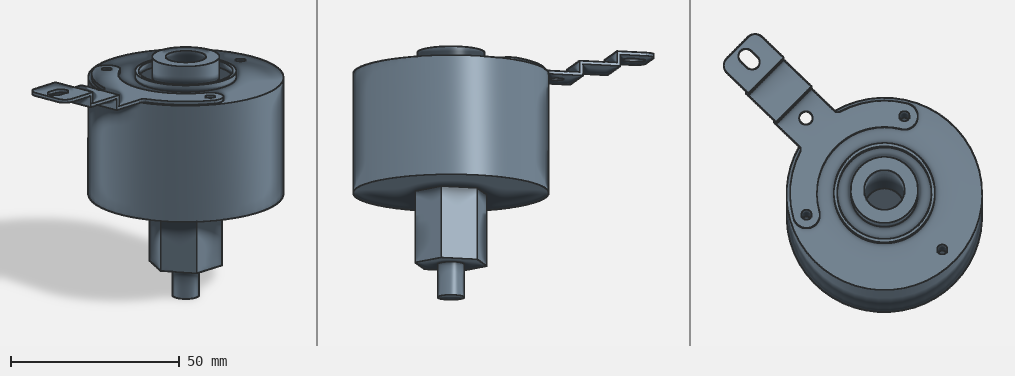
import cadquery as cq
import math

body_diameter = 58.0
body_height = 36.0
hex_across_flats = 19.1
hex_length = 21.55
shaft_diameter = 7.9
shaft_length = 10.0
hub_diameter = 19.9
hub_height = 6.4
bore_diameter = 12.0
bore_depth = 30.0
ring_diameter = 30.0
ring_wall = 1.0
ring_height = 2.0

screw_count = 3
screw_circle_radius = 24.0
screw_diameter = 3.0
screw_depth = 10.0
band_half_angle = 180 / screw_count

sheet = 1.0
step_rise = 3.5
band_half_width = 4.0
arm_angle = -60
arm_width = 15.0
arm_length = 61.0
fold_positions = (37.5, 49.0)
arm_corner_radius = 3.0
arm_root_radius = 1.0
arm_hole_position = 32.5
arm_hole_diameter = 4.0
slot_position = 56.1
slot_width = 4.5
slot_length = 7.0



def cylinder(diameter, height, bottom=0):
    return cq.Workplane("XY").workplane(offset=bottom).circle(diameter / 2).extrude(height)


def polar(radius, angle):
    return (radius * math.cos(math.radians(angle)), radius * math.sin(math.radians(angle)))


def make_turned_parts():
    hex_across_corners = hex_across_flats / math.cos(math.pi / 6)
    hexagon = (
        cq.Workplane("XY").workplane(offset=-body_height)
        .polygon(6, hex_across_corners).extrude(-hex_length)
    )
    body = cylinder(body_diameter, body_height, -body_height)
    shaft = cylinder(shaft_diameter, -shaft_length, -body_height - hex_length)
    ring = cylinder(ring_diameter, ring_height).cut(cylinder(ring_diameter - 2 * ring_wall, ring_height))
    hub = cylinder(hub_diameter, hub_height)
    return body.union(hexagon).union(shaft).union(ring).union(hub)


def make_band():
    """Curved band, centred on +X, with rounded ends around two screw holes."""
    inner = screw_circle_radius - band_half_width
    outer = screw_circle_radius + band_half_width
    tip_angle = band_half_angle + math.degrees(math.atan2(band_half_width, screw_circle_radius))
    tip_radius = math.hypot(screw_circle_radius, band_half_width)
    return (
        cq.Workplane("XY")
        .moveTo(*polar(outer, -band_half_angle))
        .threePointArc((outer, 0), polar(outer, band_half_angle))
        .threePointArc(polar(tip_radius, tip_angle), polar(inner, band_half_angle))
        .threePointArc((inner, 0), polar(inner, -band_half_angle))
        .threePointArc(polar(tip_radius, -tip_angle), polar(outer, -band_half_angle))
        .close().extrude(sheet)
    )


def make_arm():
    """Stepped strip along +X, folded up twice, with rounded free corners."""
    first_fold, second_fold = fold_positions
    strip = (
        cq.Workplane("XZ")
        .moveTo(screw_circle_radius, 0)
        .lineTo(first_fold + sheet, 0)
        .lineTo(first_fold + sheet, step_rise)
        .lineTo(second_fold + sheet, step_rise)
        .lineTo(second_fold + sheet, 2 * step_rise)
        .lineTo(arm_length, 2 * step_rise)
        .lineTo(arm_length, 2 * step_rise + sheet)
        .lineTo(second_fold, 2 * step_rise + sheet)
        .lineTo(second_fold, step_rise + sheet)
        .lineTo(first_fold, step_rise + sheet)
        .lineTo(first_fold, sheet)
        .lineTo(screw_circle_radius, sheet)
        .close().extrude(arm_width / 2, both=True)
    )
    return strip.faces(">X").edges("|Z").fillet(arm_corner_radius)


def make_bracket():
    band_outer = screw_circle_radius + band_half_width
    root_x = math.sqrt(band_outer**2 - (arm_width / 2) ** 2)
    root_edges = cq.selectors.BoxSelector(
        (root_x - sheet, -arm_width, -sheet), (root_x + sheet, arm_width, 2 * sheet)
    )
    bracket = make_band().union(make_arm()).edges("|Z").edges(root_edges).fillet(arm_root_radius)
    cutter_height = 3 * step_rise
    hole = cylinder(arm_hole_diameter, cutter_height).translate((arm_hole_position, 0, 0))
    slot = (
        cq.Workplane("XY").center(slot_position, 0)
        .slot2D(slot_length, slot_width).extrude(cutter_height)
    )
    return bracket.cut(hole).cut(slot).rotate((0, 0, 0), (0, 0, 1), arm_angle)


def make_screw_holes():
    return (
        cq.Workplane("XY").workplane(offset=-screw_depth)
        .polarArray(screw_circle_radius, 0, 360, screw_count)
        .circle(screw_diameter / 2).extrude(screw_depth + sheet)
    )


bore = cylinder(bore_diameter, -bore_depth, hub_height)
result = make_turned_parts().union(make_bracket()).cut(make_screw_holes()).cut(bore)